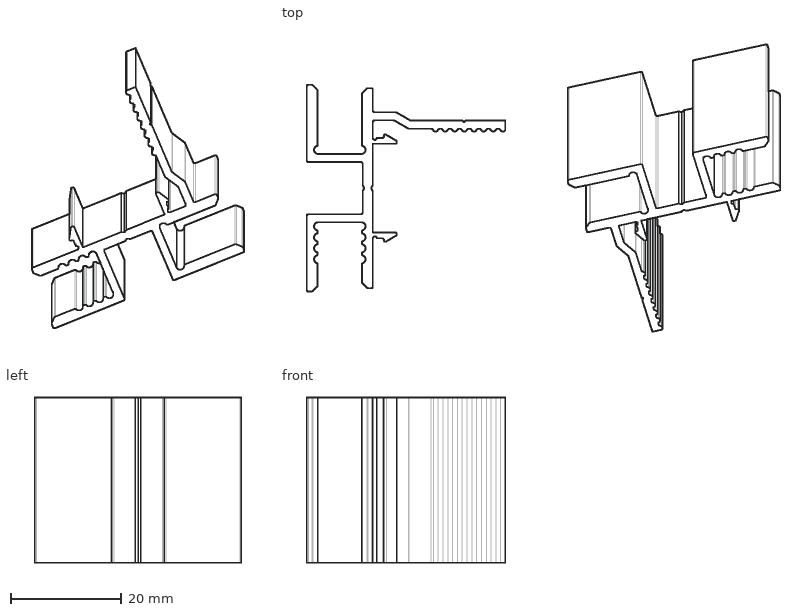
import cadquery as cq
import math


length = 30.0
total_width = 36.0
total_depth = 37.5
corner_radius = 0.3

wall = 2.0
web_thickness = 1.88
channel_width = 12.0
floor_thickness = 1.5
floor_outer = 4.72
long_tip = total_depth / 2
short_tip = 18.15
tip_chamfer = 0.98

floor_inner = floor_outer + floor_thickness
inner_right = channel_width - wall
web_left = channel_width - web_thickness

groove_radius = 0.7
groove_depth = 0.65
groove_lip_radius = 0.22
groove_pitch = 2.0
upper_groove_count = 1
lower_groove_count = 4

web_notch_depth = 0.3
web_notch_half_width = 0.52
arm_notch_size = 0.3
arm_notch_x = 28.55

arm_thickness = 1.5
arm_root_top = 13.75
arm_end_top = 12.25
arm_slope = math.radians(30)
top_bend_start = 16.25

top_bend_end = top_bend_start + (arm_root_top - arm_end_top) / math.tan(arm_slope)
bend_shift = arm_thickness * math.tan(arm_slope / 2)
arm_root_bottom = arm_root_top - arm_thickness
arm_end_bottom = arm_end_top - arm_thickness

rib_count = 8
rib_span = 13.1
rib_height = 0.52

rib_width = rib_span / (2 * rib_count - 1)
rib_pitch = 2 * rib_width

hook_inner = 8.02
hook_step = 9.1
hook_peak = 9.95
hook_root_groove = 0.7
hook_face_x = 14.0
hook_end_x = 16.35
hook_nose = 0.52
hook_barb_radius = 0.25


def prism(outline):
    return outline.close().extrude(length)


def round_corners(body, corners, radius):
    """Fillet the edges along Z that pass through the given (x, y) corners."""
    reach = 0.02
    for x, y in corners:
        low = (x - reach, y - reach, -reach)
        high = (x + reach, y + reach, length + reach)
        at_corner = cq.selectors.BoxSelector(low, high, boundingbox=True)
        body = body.edges(at_corner).fillet(radius)
    return body


def channel_half():
    """Channel on the +Y side together with its half of the web."""
    body = prism(
        cq.Workplane("XY").polyline([
            (web_left, 0),
            (web_left, floor_outer),
            (0, floor_outer),
            (0, long_tip),
            (wall - tip_chamfer, long_tip),
            (wall, long_tip - tip_chamfer),
            (wall, floor_inner),
            (inner_right, floor_inner),
            (inner_right, short_tip - tip_chamfer),
            (inner_right + tip_chamfer, short_tip),
            (channel_width, short_tip),
            (channel_width, 0),
        ])
    )
    corners = [
        (web_left, floor_outer),
        (0, floor_outer),
        (0, long_tip),
        (wall - tip_chamfer, long_tip),
        (wall, long_tip - tip_chamfer),
        (inner_right, short_tip - tip_chamfer),
        (inner_right + tip_chamfer, short_tip),
        (channel_width, short_tip),
    ]
    return round_corners(body, corners, corner_radius)


def cut_channel_grooves(body, count):
    """Cut facing grooves in the walls of the +Y channel and round their lips."""
    axis_offset = groove_radius - groove_depth
    lip_offset = math.sqrt(groove_radius**2 - axis_offset**2)
    first_y = floor_inner + groove_radius
    heights = [first_y + i * groove_pitch for i in range(count)]
    axes = [(x, y) for x in (wall + axis_offset, inner_right - axis_offset) for y in heights]
    body = body.cut(cq.Workplane("XY").pushPoints(axes).circle(groove_radius).extrude(length))
    lip_heights = [y + lip_offset for y in heights] + [y - lip_offset for y in heights[1:]]
    lips = [(x, y) for x in (wall, inner_right) for y in lip_heights]
    return round_corners(body, lips, groove_lip_radius)


def hook():
    """Snap hook of the +Y half, its barb pointing to +Y."""
    root_radius = hook_root_groove / 2
    root_mid = channel_width + root_radius
    root_end = channel_width + hook_root_groove
    nose_top = hook_inner + hook_nose
    body = prism(
        cq.Workplane("XY")
        .moveTo(web_left, hook_inner)
        .lineTo(web_left, hook_step)
        .lineTo(channel_width, hook_step)
        .threePointArc((root_mid, hook_step - root_radius), (root_end, hook_step))
        .lineTo(hook_face_x, hook_step)
        .lineTo(hook_face_x, hook_peak)
        .lineTo(hook_end_x, nose_top)
        .lineTo(hook_end_x, hook_inner)
    )
    body = round_corners(body, [(hook_face_x, hook_peak)], hook_barb_radius)
    corners = [
        (hook_face_x, hook_step),
        (hook_end_x, nose_top),
        (hook_end_x, hook_inner),
    ]
    return round_corners(body, corners, corner_radius)


def arm():
    """Cranked arm; its lower side ends in alternating convex and concave arcs."""
    arc_middle = rib_width / 2
    rib_low = arm_end_bottom - rib_height
    rib_mid = arm_end_bottom - rib_height / 2
    arc_radius = (arc_middle**2 + (rib_height / 2)**2) / rib_height
    ribs_start = total_width - rib_span

    outline = (
        cq.Workplane("XY")
        .moveTo(web_left, arm_root_top)
        .lineTo(web_left, arm_root_bottom)
        .lineTo(top_bend_start - bend_shift, arm_root_bottom)
        .lineTo(top_bend_end - bend_shift, arm_end_bottom)
        .lineTo(ribs_start - arc_middle, arm_end_bottom)
        .radiusArc((ribs_start, rib_mid), arc_radius)
    )
    for i in range(rib_count):
        left = ribs_start + i * rib_pitch
        right = left + rib_width
        if i > 0:
            outline = outline.threePointArc((left - arc_middle, arm_end_bottom), (left, rib_mid))
        outline = outline.threePointArc((left + arc_middle, rib_low), (right, rib_mid))

    body = prism(
        outline
        .lineTo(total_width, arm_end_top)
        .lineTo(arm_notch_x + arm_notch_size, arm_end_top)
        .lineTo(arm_notch_x, arm_end_top - arm_notch_size)
        .lineTo(arm_notch_x - arm_notch_size, arm_end_top)
        .lineTo(top_bend_end, arm_end_top)
        .lineTo(top_bend_start, arm_root_top)
    )
    bends = [
        (top_bend_start, arm_root_top),
        (top_bend_end, arm_end_top),
        (top_bend_start - bend_shift, arm_root_bottom),
        (top_bend_end - bend_shift, arm_end_bottom),
    ]
    return round_corners(body, bends, corner_radius)


def web_notch(face_x, tip_x):
    """Cutter for a V notch at Y = 0, from a web face to its tip inside the web."""
    return prism(
        cq.Workplane("XY").polyline([
            (face_x, -web_notch_half_width),
            (tip_x, 0),
            (face_x, web_notch_half_width),
        ])
    )


half = channel_half().union(hook())
upper = cut_channel_grooves(half, upper_groove_count)
lower = cut_channel_grooves(half, lower_groove_count).mirror("XZ")

body = upper.union(lower).union(arm())
body = body.cut(web_notch(web_left, web_left + web_notch_depth))
body = body.cut(web_notch(channel_width, channel_width - web_notch_depth))

arm_root_corners = [
    (channel_width, arm_root_top),
    (channel_width, arm_root_bottom),
]
result = round_corners(body, arm_root_corners, corner_radius)